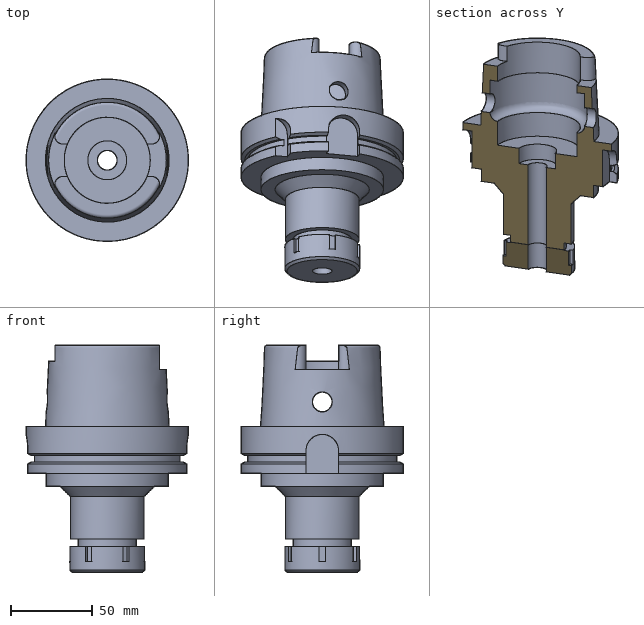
import cadquery as cq
import math


taper_height = 50.0
taper_base_radius = 38.1
taper_slope = 0.05
taper_top_radius = taper_base_radius - taper_slope * taper_height
taper_rim_fillet = 2.0

mouth_radius = 26.5
undercut_top = 30.0
undercut_bottom = 9.0
undercut_radius = 31.5
bore_floor = -11.5
seat_radius = 12.0
seat_depth = 10.0
through_radius = 6.0

cross_hole_diameter = 12.0
cross_hole_height = undercut_bottom + cross_hole_diameter / 2

notch_width = 20.0
notch_flare_radius = 5.0
notch_flare_end = 32.3
left_notch_floor = 40.1
right_notch_floor = 35.0

flange_radius = 50.0
flange_thickness = 29.0
groove_center = -20.0
groove_root_radius = 46.0
groove_root_width = 3.9
groove_bevel_depth = 2.25
groove_bevel_height = 1.3

drive_slot_width = 20.0
drive_slot_top = -5.0
drive_slot_floor = 44.0
orientation_slot_width = 20.0
orientation_slot_top = -4.5
orientation_slot_near_side = 31.4
orientation_slot_floor = 31.5

collar_radius = 37.7
collar_bottom = -37.0
cone_top_radius = 29.0
body_radius = 22.7
body_top = collar_bottom - (cone_top_radius - body_radius)
body_bottom = -69.5
neck_radius = 18.0

nut_top = -74.0
nut_bottom = -90.0
nut_radius = 23.1
nut_chamfer = 1.5
nut_slot_count = 6
nut_slot_width = 4.0
nut_slot_depth = 2.0
nut_slot_length = 9.3


def cylinder(radius, bottom, top):
    """Upright cylinder on the Z axis."""
    return cq.Workplane("XY").workplane(offset=bottom).circle(radius).extrude(top - bottom)


def revolved(profile):
    """Solid of revolution about Z from a closed outline of (radius, height) points."""
    return cq.Workplane("XZ").polyline(profile).close().revolve(360, (0, 0, 0), (0, 1, 0))


def taper():
    """Slightly conical shank with a rounded upper rim."""
    profile = [
        (0, 0),
        (taper_base_radius, 0),
        (taper_top_radius, taper_height),
        (0, taper_height),
    ]
    return revolved(profile).faces(">Z").edges().fillet(taper_rim_fillet)


def flange_and_body():
    """Flange with its groove, then collar, cone, body and neck."""
    half_root = groove_root_width / 2
    half_mouth = half_root + groove_bevel_height
    bevel_radius = flange_radius - groove_bevel_depth
    profile = [
        (0, 0),
        (flange_radius, 0),
        (flange_radius, groove_center + half_mouth),
        (bevel_radius, groove_center + half_root),
        (groove_root_radius, groove_center + half_root),
        (groove_root_radius, groove_center - half_root),
        (bevel_radius, groove_center - half_root),
        (flange_radius, groove_center - half_mouth),
        (flange_radius, -flange_thickness),
        (collar_radius, -flange_thickness),
        (collar_radius, collar_bottom),
        (cone_top_radius, collar_bottom),
        (body_radius, body_top),
        (body_radius, body_bottom),
        (neck_radius, body_bottom),
        (neck_radius, nut_top),
        (0, nut_top),
    ]
    return revolved(profile)


def bore():
    """Shank bore with a wider undercut that rounds back in, then a floor seat and a through hole."""
    rounding = undercut_radius - mouth_radius
    round_mid_radius = mouth_radius + rounding * math.cos(math.pi / 4)
    round_mid_height = undercut_bottom - rounding * math.sin(math.pi / 4)
    seat_floor = bore_floor - seat_depth
    return (
        cq.Workplane("XZ")
        .moveTo(0, taper_height)
        .lineTo(mouth_radius, taper_height)
        .lineTo(mouth_radius, undercut_top)
        .lineTo(undercut_radius, undercut_top)
        .lineTo(undercut_radius, undercut_bottom)
        .threePointArc((round_mid_radius, round_mid_height), (mouth_radius, undercut_bottom - rounding))
        .lineTo(mouth_radius, bore_floor)
        .lineTo(seat_radius, bore_floor)
        .lineTo(seat_radius, seat_floor)
        .lineTo(through_radius, seat_floor)
        .lineTo(through_radius, nut_top)
        .lineTo(0, nut_top)
        .close()
        .revolve(360, (0, 0, 0), (0, 1, 0))
    )


def cross_hole():
    """Hole along X through both shank walls."""
    return (
        cq.Workplane("YZ")
        .center(0, cross_hole_height)
        .circle(cross_hole_diameter / 2)
        .extrude(taper_base_radius, both=True)
    )


def key_notch(side, floor):
    """Notch on the +X (side = 1) or -X (side = -1) rim, flaring outwards to the full width."""
    half_width = notch_width / 2
    flare_start = side * (notch_flare_end - notch_flare_radius)
    flare_end = side * notch_flare_end
    outside = side * flange_radius
    flare_width = half_width + notch_flare_radius
    arc_mid_x = flare_start + side * notch_flare_radius * math.sin(math.pi / 4)
    arc_mid_y = flare_width - notch_flare_radius * math.cos(math.pi / 4)
    return (
        cq.Workplane("XY")
        .workplane(offset=floor)
        .moveTo(0, -half_width)
        .lineTo(flare_start, -half_width)
        .threePointArc((arc_mid_x, -arc_mid_y), (flare_end, -flare_width))
        .lineTo(flare_end, -flange_radius)
        .lineTo(outside, -flange_radius)
        .lineTo(outside, flange_radius)
        .lineTo(flare_end, flange_radius)
        .lineTo(flare_end, flare_width)
        .threePointArc((arc_mid_x, arc_mid_y), (flare_start, half_width))
        .lineTo(0, half_width)
        .close()
        .extrude(taper_height - floor)
    )


def arched_slot(width, top, center_y, floor, side):
    """Round-topped cut, open at the flange underside, with its flat floor at X = side * floor."""
    radius = width / 2
    arch_center = top - radius
    return (
        cq.Workplane("YZ")
        .workplane(offset=side * floor)
        .moveTo(center_y - radius, -flange_thickness)
        .lineTo(center_y - radius, arch_center)
        .threePointArc((center_y, top), (center_y + radius, arch_center))
        .lineTo(center_y + radius, -flange_thickness)
        .close()
        .extrude(side * (flange_radius - floor))
    )


def make_holder():
    holder = taper().union(flange_and_body()).cut(bore()).cut(cross_hole())
    holder = holder.cut(key_notch(-1, left_notch_floor)).cut(key_notch(1, right_notch_floor))
    for side in (-1, 1):
        holder = holder.cut(arched_slot(drive_slot_width, drive_slot_top, 0, drive_slot_floor, side))
    orientation_slot_center = orientation_slot_near_side + orientation_slot_width / 2
    return holder.cut(
        arched_slot(
            orientation_slot_width,
            orientation_slot_top,
            orientation_slot_center,
            orientation_slot_floor,
            -1,
        )
    )


def make_nut():
    """Chamfered ring with wrench slots open at its upper face."""
    nut = cylinder(nut_radius, nut_bottom, nut_top).faces("<Z").edges().chamfer(nut_chamfer)
    nut = nut.cut(cylinder(through_radius, nut_bottom, nut_top))
    wrench_slot = cq.Workplane("XY").box(
        nut_slot_depth, nut_slot_width, nut_slot_length, centered=(False, True, False)
    ).translate((nut_radius - nut_slot_depth, 0, nut_top - nut_slot_length))
    for index in range(nut_slot_count):
        angle = index * 360 / nut_slot_count
        nut = nut.cut(wrench_slot.rotate((0, 0, 0), (0, 0, 1), angle))
    return nut


holder = make_holder()
nut = make_nut()

result = cq.Compound.makeCompound([holder.val(), nut.val()])